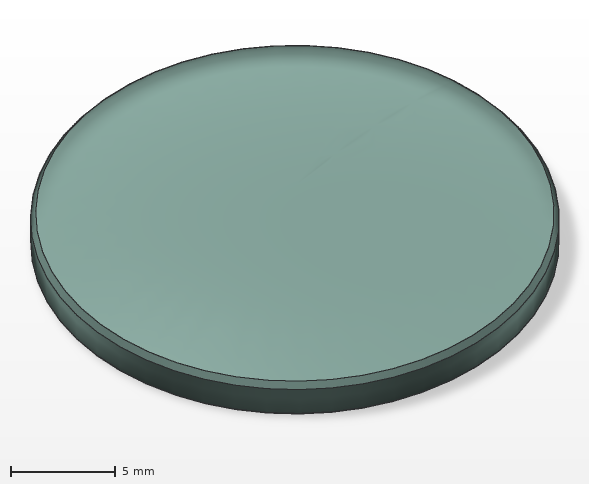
import cadquery as cq
import math

diameter = 25.4
centre_thickness = 3.78
edge_thickness = 2.0
bevel = 0.25

rim_radius = diameter / 2
face_radius = rim_radius - bevel
full_sag = centre_thickness - edge_thickness
curvature_radius = (rim_radius**2 + full_sag**2) / (2 * full_sag)


def convex_height(radius):
    """Height of the spherical face at a given distance from the axis."""
    sag = curvature_radius - math.sqrt(curvature_radius**2 - radius**2)
    return centre_thickness - sag


def lens_profile():
    """Half section in the YZ plane, bounded by the optical axis."""
    mid_radius = face_radius / 2
    return (
        cq.Workplane("YZ")
        .moveTo(0, 0)
        .lineTo(face_radius, 0)
        .lineTo(rim_radius, bevel)
        .lineTo(rim_radius, edge_thickness - bevel)
        .lineTo(face_radius, convex_height(face_radius))
        .threePointArc((mid_radius, convex_height(mid_radius)), (0, centre_thickness))
        .close()
    )


result = lens_profile().revolve(360, (0, 0, 0), (0, 1, 0))